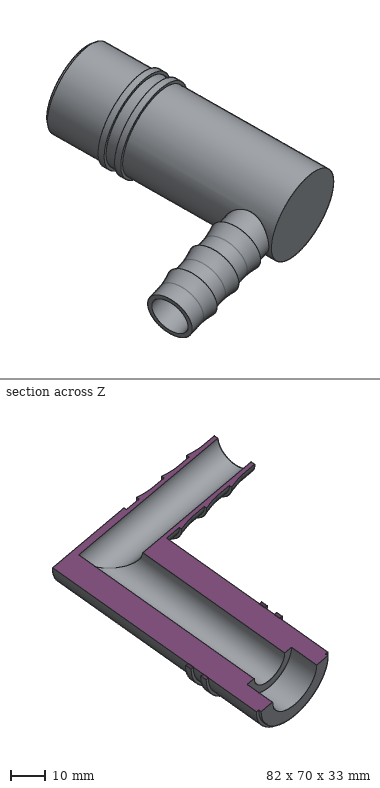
import cadquery as cq

body_length = 82.0
body_diameter = 31.0
lip_diameter = 29.0
lip_length = 1.0

socket_diameter = 19.0
socket_depth = 10.0
bore_diameter = 13.1

ring_diameter = 33.0
ring_width = 2.2
first_ring_start = 20.0
ring_spacing = 6.0
ring_count = 2

spout_diameter = 16.15
spout_reach = 53.55
barb_diameter = 18.0
barb_length = 5.4
barb_pitch = 2 * barb_length
barb_tip_offset = 5.65
barb_count = 3
barb_hollow = 0.12

body_radius = body_diameter / 2
bore_radius = bore_diameter / 2
spout_radius = spout_diameter / 2
barb_radius = barb_diameter / 2
spout_x = body_length - barb_radius


def cylinder_along_x(diameter, start_x, length):
    return cq.Workplane("YZ", origin=(start_x, 0, 0)).circle(diameter / 2).extrude(length)


def make_tube():
    """Solid tube with a narrower lip at the inlet end."""
    lip = cylinder_along_x(lip_diameter, 0, lip_length)
    return lip.union(cylinder_along_x(body_diameter, lip_length, body_length - lip_length))


def make_spout():
    """Solid spout with barbs that flare from the tip toward the tube."""
    profile = (
        cq.Workplane("XY", origin=(spout_x, 0, 0))
        .moveTo(0, -spout_reach)
        .lineTo(spout_radius, -spout_reach)
    )
    flank_mid_radius = (spout_radius + barb_radius) / 2 - barb_hollow
    for index in range(barb_count):
        barb_start = -spout_reach + barb_tip_offset + index * barb_pitch
        barb_end = barb_start + barb_length
        profile = (
            profile.lineTo(spout_radius, barb_start)
            .threePointArc((flank_mid_radius, barb_start + barb_length / 2), (barb_radius, barb_end))
            .lineTo(spout_radius, barb_end)
        )
    profile = profile.lineTo(spout_radius, 0).lineTo(0, 0).close()
    return profile.revolve(360, (0, 0, 0), (0, 1, 0))


def make_passage():
    """Socket and two equal bores that meet in a mitred elbow."""
    socket = cylinder_along_x(socket_diameter, 0, socket_depth)
    inlet_bore = cylinder_along_x(bore_diameter, 0, spout_x + bore_radius)
    outlet_bore = (
        cq.Workplane("XZ", origin=(spout_x, bore_radius, 0))
        .circle(bore_radius)
        .extrude(bore_radius + spout_reach)
    )
    inlet_side = (
        cq.Workplane("XY", origin=(0, 0, -bore_radius))
        .polyline([
            (0, -bore_radius),
            (spout_x - bore_radius, -bore_radius),
            (spout_x + bore_radius, bore_radius),
            (0, bore_radius),
        ])
        .close()
        .extrude(bore_diameter)
    )
    outlet_side = (
        cq.Workplane("XY", origin=(spout_x, 0, -bore_radius))
        .polyline([
            (-bore_radius, -spout_reach),
            (bore_radius, -spout_reach),
            (bore_radius, bore_radius),
            (-bore_radius, -bore_radius),
        ])
        .close()
        .extrude(bore_diameter)
    )
    elbow = inlet_bore.intersect(inlet_side).union(outlet_bore.intersect(outlet_side))
    return elbow.union(socket)


def make_body():
    return make_tube().union(make_spout()).cut(make_passage())


def make_ring(start_x):
    """Flat-sided sealing ring that sits on the tube surface."""
    return (
        cq.Workplane("YZ", origin=(start_x, 0, 0))
        .circle(ring_diameter / 2)
        .circle(body_radius)
        .extrude(ring_width)
    )


body = make_body()
rings = [make_ring(first_ring_start + index * ring_spacing) for index in range(ring_count)]

result = cq.Compound.makeCompound([body.val(), *[ring.val() for ring in rings]])